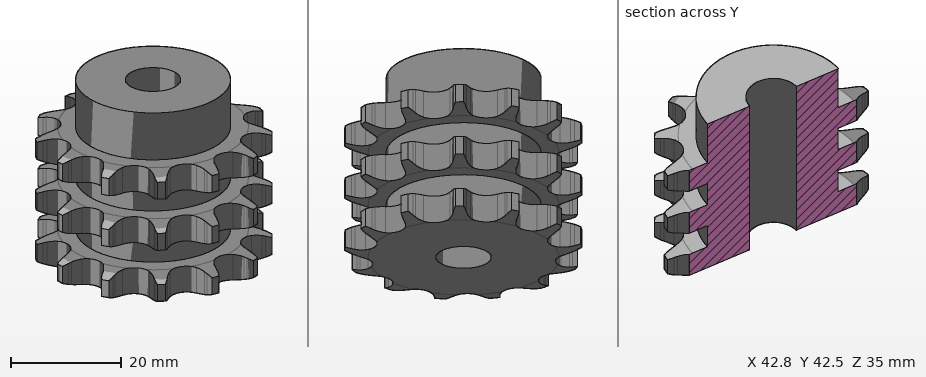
import cadquery as cq
import math


TEETH = 13
CHAIN_PITCH = 9.5
ROLLER_DIAMETER = 6.35
TIP_DIAMETER = 43.0
SEAT_RADIUS = 3.2
FLANK_RADIUS = 1.3 * ROLLER_DIAMETER
STRAIGHT_LENGTH = 0.65
TIP_FLANK_RADIUS = 5.35
SEAT_HALF_ANGLE = math.radians(55 - 60 / TEETH)
FLANK_TURN = math.radians(18 - 56 / TEETH)
TIP_FLANK_TURN = math.radians(20)

ROWS = 3
ROW_SPAN = 20.45
ROW_WIDTH = 5.2
CHEEK_DROP = 0.9
CHEEK_WIDTH = 4.3

HUB_DIAMETER = 28.0
HUB_HEIGHT = 35.0
BORE_DIAMETER = 10.0

tooth_angle = 360 / TEETH
pitch_radius = CHAIN_PITCH / (2 * math.sin(math.pi / TEETH))
tip_radius = TIP_DIAMETER / 2
row_spacing = ROW_SPAN / (ROWS - 1)


def row_blank():
    """Disc whose rim has both sides rounded towards the tooth tips."""
    face_radius = tip_radius - CHEEK_WIDTH
    cheek_radius = (CHEEK_WIDTH**2 + CHEEK_DROP**2) / (2 * CHEEK_DROP)
    mid_angle = math.asin(CHEEK_WIDTH / cheek_radius) / 2
    mid_radius = face_radius + cheek_radius * math.sin(mid_angle)
    mid_drop = cheek_radius * (1 - math.cos(mid_angle))
    return (
        cq.Workplane("XZ")
        .lineTo(face_radius, 0)
        .threePointArc((mid_radius, mid_drop), (tip_radius, CHEEK_DROP))
        .lineTo(tip_radius, ROW_WIDTH - CHEEK_DROP)
        .threePointArc((mid_radius, ROW_WIDTH - mid_drop), (face_radius, ROW_WIDTH))
        .lineTo(0, ROW_WIDTH)
        .close()
        .revolve(360, (0, 0), (0, 1))
    )


def tooth_gap():
    """Cutter for the gap centred on +Y: roller seat, then arc, straight and tip arc on each flank."""

    def seat_point(angle):
        return (SEAT_RADIUS * math.sin(angle), pitch_radius - SEAT_RADIUS * math.cos(angle))

    seat_x, seat_y = seat_point(SEAT_HALF_ANGLE)

    def flank_point(turn):
        angle = SEAT_HALF_ANGLE + turn
        x = seat_x + FLANK_RADIUS * (math.sin(angle) - math.sin(SEAT_HALF_ANGLE))
        y = seat_y + FLANK_RADIUS * (math.cos(SEAT_HALF_ANGLE) - math.cos(angle))
        return (x, y)

    def mirrored(point):
        return (-point[0], point[1])

    flank_middle = flank_point(FLANK_TURN / 2)
    flank_end = flank_point(FLANK_TURN)
    end_angle = SEAT_HALF_ANGLE + FLANK_TURN
    straight_end = (
        flank_end[0] + STRAIGHT_LENGTH * math.cos(end_angle),
        flank_end[1] + STRAIGHT_LENGTH * math.sin(end_angle),
    )

    def tip_point(turn):
        angle = end_angle - turn
        x = straight_end[0] + TIP_FLANK_RADIUS * (math.sin(end_angle) - math.sin(angle))
        y = straight_end[1] + TIP_FLANK_RADIUS * (math.cos(angle) - math.cos(end_angle))
        return (x, y)

    tip_middle = tip_point(TIP_FLANK_TURN / 2)
    tip_end = tip_point(TIP_FLANK_TURN)
    return (
        cq.Workplane("XY")
        .moveTo(*mirrored(tip_end))
        .threePointArc(mirrored(tip_middle), mirrored(straight_end))
        .lineTo(*mirrored(flank_end))
        .threePointArc(mirrored(flank_middle), (-seat_x, seat_y))
        .threePointArc(seat_point(0), (seat_x, seat_y))
        .threePointArc(flank_middle, flank_end)
        .lineTo(*straight_end)
        .threePointArc(tip_middle, tip_end)
        .close()
        .extrude(ROW_WIDTH)
    )


def sprocket_row():
    """One toothed disc, with a gap on +Y and a tooth on -Y."""
    row = row_blank()
    gap = tooth_gap()
    for index in range(TEETH):
        row = row.cut(gap.rotate((0, 0, 0), (0, 0, 1), index * tooth_angle))
    return row


hub = cq.Workplane("XY").circle(HUB_DIAMETER / 2).extrude(HUB_HEIGHT)
bore = cq.Workplane("XY").circle(BORE_DIAMETER / 2).extrude(HUB_HEIGHT)

result = hub
toothed_row = sprocket_row()
for row_index in range(ROWS):
    result = result.union(toothed_row.translate((0, 0, row_index * row_spacing)))
result = result.cut(bore)